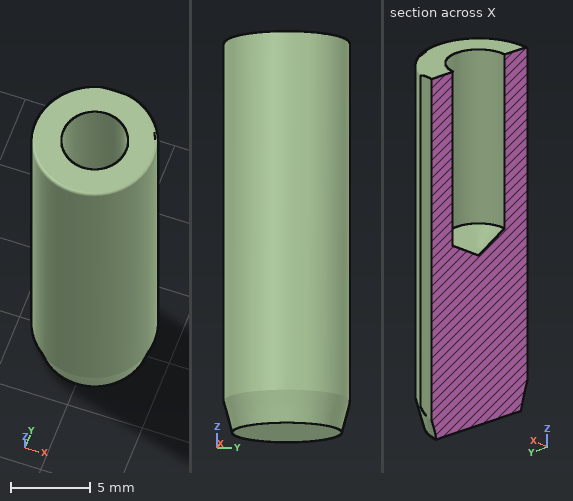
import cadquery as cq
import math

length = 25.0
radius = 4.0
lead_in_length = 2.0
lead_in_angle = 15.0
top_edge_size = 0.2

hole_radius = 2.1
hole_depth = 12.0
drill_point_angle = 118.0

flat_depth = 0.15


def pin_body():
    """Cylinder tapered at the bottom and rounded at the top rim."""
    tip_radius = radius - lead_in_length * math.tan(math.radians(lead_in_angle))
    profile = (
        cq.Workplane("XZ")
        .lineTo(tip_radius, 0)
        .lineTo(radius, lead_in_length)
        .lineTo(radius, length)
        .lineTo(0, length)
        .close()
    )
    body = profile.revolve(360, (0, 0, 0), (0, 1, 0))
    return body.faces(">Z").edges().fillet(top_edge_size)


def blind_hole():
    """Round hole from the top face, ending in a cone."""
    floor_z = length - hole_depth
    point_height = hole_radius / math.tan(math.radians(drill_point_angle / 2))
    profile = (
        cq.Workplane("XZ")
        .moveTo(0, floor_z - point_height)
        .lineTo(hole_radius, floor_z)
        .lineTo(hole_radius, length)
        .lineTo(0, length)
        .close()
    )
    return profile.revolve(360, (0, 0, 0), (0, 1, 0))


def vent_flat():
    """Block that shaves the +Y side over the full length."""
    return cq.Workplane("XY").box(
        2 * radius, flat_depth, length, centered=(True, False, False)
    ).translate((0, radius - flat_depth, 0))


result = pin_body().cut(blind_hole()).cut(vent_flat())